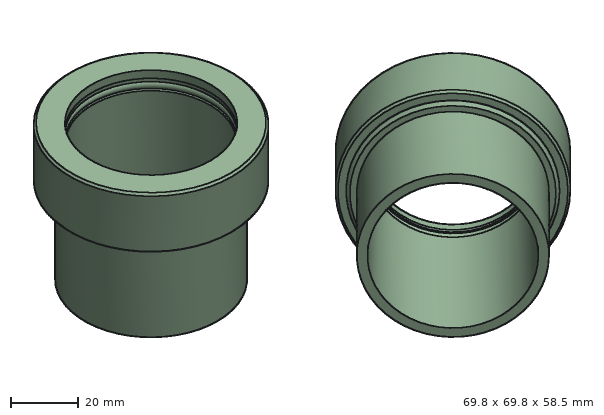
import cadquery as cq

total_height = 58.5
nut_height = 22.2
nut_bottom = total_height - nut_height

nut_diameter = 69.85
nut_chamfer = 0.8
lip_bore = 51.2
lip_thickness = 3.1
lip_bottom = total_height - lip_thickness

pipe_outer_diameter = 57.15
pipe_bore = 50.8
flange_diameter = 63.4
flange_overhang = 1.3
flange_bottom = nut_bottom - flange_overhang
flange_chamfer = 1.1

washer_diameter = 62.1
washer_thickness = 1.25
washer_bottom = lip_bottom - washer_thickness

ring_section = 3.2
ring_inner_diameter = pipe_bore
ring_center_radius = (ring_inner_diameter + ring_section) / 2
ring_center_height = washer_bottom - ring_section / 2
pipe_top = washer_bottom - ring_section


def cylinder(diameter, bottom, top):
    """Solid cylinder about Z between two heights."""
    return cq.Workplane("XY").workplane(offset=bottom).circle(diameter / 2).extrude(top - bottom)


def make_nut():
    """Chamfered sleeve with an inward lip at its upper end."""
    nut = cylinder(nut_diameter, nut_bottom, total_height).edges().chamfer(nut_chamfer)
    nut = nut.cut(cylinder(lip_bore, nut_bottom, total_height))
    nut = nut.cut(cylinder(washer_diameter, pipe_top, lip_bottom))
    return nut.cut(cylinder(flange_diameter, nut_bottom, pipe_top))


def make_pipe():
    """Tube whose upper end carries a flange with a chamfered lower edge."""
    flange = cylinder(flange_diameter, flange_bottom, pipe_top)
    flange = flange.faces("<Z").edges().chamfer(flange_chamfer)
    pipe = cylinder(pipe_outer_diameter, 0, pipe_top).union(flange)
    return pipe.cut(cylinder(pipe_bore, 0, pipe_top))


def make_washer():
    """Flat ring with the same bore as the nut lip."""
    washer = cylinder(washer_diameter, washer_bottom, lip_bottom)
    return washer.cut(cylinder(lip_bore, washer_bottom, lip_bottom))


def make_o_ring():
    """Round-section ring resting on the end of the pipe."""
    section = cq.Workplane("XZ").center(ring_center_radius, ring_center_height).circle(ring_section / 2)
    return section.revolve(360, (-ring_center_radius, 0, 0), (-ring_center_radius, 1, 0))


nut = make_nut()
pipe = make_pipe()
washer = make_washer()
o_ring = make_o_ring()

result = cq.Compound.makeCompound([nut.val(), pipe.val(), washer.val(), o_ring.val()])